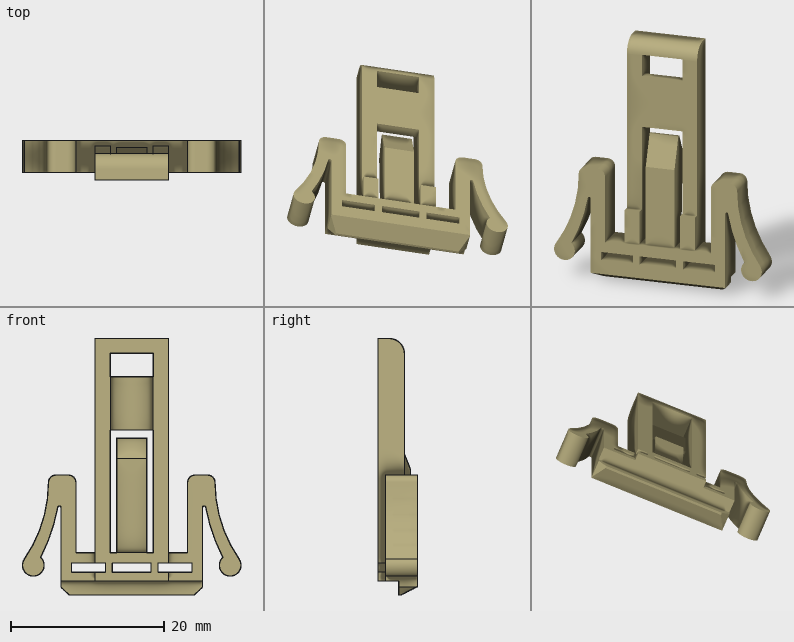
import cadquery as cq

total_width = 28.55
total_height = 33.5
back_y = 5.2
base_front_y = 0.97
base_top_z = 5.53
frame_bottom_z = 1.8

frame_half_width = 4.82
frame_back_y = 3.5
frame_top_radius = 2.0
window_half_width = 2.78
window_top_z = 31.55

foot_back_y = 4.45
foot_top_z = 10.05

block_front_y = 2.1
block_bottom_z = 21.55
block_top_z = 28.5

tongue_half_width = 1.98
tongue_top_z = 20.47
tongue_bevel_z = 17.82
tongue_root_front_y = 1.47
tongue_bevel_front_y = 0.8
tongue_top_front_y = 2.28
tongue_top_back_y = 2.68
tongue_back_y = 4.3
tongue_back_bevel_z = 16.35

base_half_width = 9.25
lip_front_y = 2.7
lip_tip_y = 3.0
lip_back_z = 1.1
lip_corner_width = 1.07
lip_corner_height = 1.05

slot_bottom_z = 2.98
slot_top_z = 4.15
center_slot_half_width = 2.5
side_slot_inner_x = 3.45
side_slot_outer_x = 7.85

post_inner_x = 7.27
post_top_z = 15.68
post_corner_radius = 1.0
arm_top_x = 10.9
arm_outer_mid = (12.4, 7.6)
arm_outer_end = (14.05, 4.7)
arm_inner_end = (11.95, 4.75)
arm_inner_mid = (11.02, 6.77)
gap_top_z = 11.62
gap_half_width = 0.2
bead_radius = 2.85 / 2
bead_x = total_width / 2 - bead_radius
bead_z = 3.9


def box(x0, x1, y0, y1, z0, z1):
    """Box between opposite corner coordinates."""
    return cq.Workplane("XY").box(x1 - x0, y1 - y0, z1 - z0, centered=False).translate((x0, y0, z0))


def across(profile, half_width):
    """Extrude a YZ profile symmetrically about X = 0."""
    return profile.extrude(half_width, both=True)


def frame():
    outer = box(-frame_half_width, frame_half_width, 0, frame_back_y, frame_bottom_z, total_height)
    outer = outer.edges(">Z and >Y").fillet(frame_top_radius)
    feet = box(-frame_half_width, frame_half_width, frame_back_y, foot_back_y, frame_bottom_z, foot_top_z)
    window = box(-window_half_width, window_half_width, 0, back_y, base_top_z, window_top_z)
    return outer.union(feet).cut(window)


def cross_block():
    return box(-window_half_width, window_half_width, block_front_y, frame_back_y, block_bottom_z, block_top_z)


def tongue():
    profile = cq.Workplane("YZ").polyline([
        (tongue_root_front_y, base_top_z),
        (tongue_bevel_front_y, tongue_bevel_z),
        (tongue_top_front_y, tongue_top_z),
        (tongue_top_back_y, tongue_top_z),
        (tongue_back_y, tongue_back_bevel_z),
        (tongue_back_y, base_top_z),
    ]).close()
    return across(profile, tongue_half_width)


def base():
    body = box(-base_half_width, base_half_width, base_front_y, back_y, frame_bottom_z, base_top_z)
    lip = across(
        cq.Workplane("YZ").polyline([
            (lip_front_y, frame_bottom_z),
            (lip_front_y, 0),
            (lip_tip_y, 0),
            (back_y, lip_back_z),
            (back_y, frame_bottom_z),
        ]).close(),
        base_half_width,
    )
    for side in (-1, 1):
        corner = cq.Workplane("XZ").polyline([
            (side * base_half_width, 0),
            (side * base_half_width, lip_corner_height),
            (side * (base_half_width - lip_corner_width), 0),
        ]).close().extrude(-back_y)
        lip = lip.cut(corner)
    return body.union(lip)


def right_post_and_arm():
    depth = back_y - base_front_y
    plane = cq.Workplane("XZ", origin=(0, base_front_y, 0))
    corner_z = post_top_z - post_corner_radius
    gap_outer_x = base_half_width + 2 * gap_half_width
    body = (
        plane.moveTo(post_inner_x, frame_bottom_z)
        .lineTo(post_inner_x, corner_z)
        .radiusArc((post_inner_x + post_corner_radius, post_top_z), post_corner_radius)
        .lineTo(arm_top_x - post_corner_radius, post_top_z)
        .radiusArc((arm_top_x, corner_z), post_corner_radius)
        .threePointArc(arm_outer_mid, arm_outer_end)
        .lineTo(bead_x, bead_z)
        .lineTo(*arm_inner_end)
        .threePointArc(arm_inner_mid, (gap_outer_x, gap_top_z - gap_half_width))
        .threePointArc(
            (base_half_width + gap_half_width, gap_top_z),
            (base_half_width, gap_top_z - gap_half_width),
        )
        .lineTo(base_half_width, frame_bottom_z)
        .close()
        .extrude(-depth)
    )
    bead = plane.center(bead_x, bead_z).circle(bead_radius).extrude(-depth)
    return body.union(bead)


def slots():
    center = box(-center_slot_half_width, center_slot_half_width, 0, back_y, slot_bottom_z, slot_top_z)
    side = box(side_slot_inner_x, side_slot_outer_x, 0, back_y, slot_bottom_z, slot_top_z)
    return center.union(side).union(side.mirror("YZ"))


right_arm = right_post_and_arm()
result = (
    base()
    .union(frame())
    .union(cross_block())
    .union(tongue())
    .union(right_arm)
    .union(right_arm.mirror("YZ"))
    .cut(slots())
)